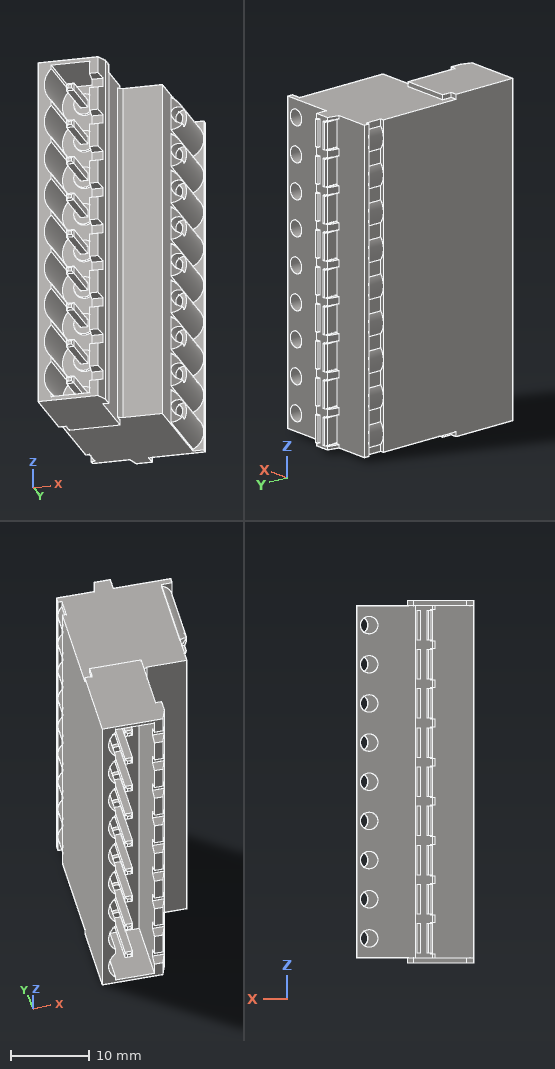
import cadquery as cq

pole_count = 9
pole_pitch = 5.0
pole_levels = [(i - (pole_count - 1) / 2) * pole_pitch for i in range(pole_count)]

shroud_height = 46.3
shroud_right = 7.75
shroud_back = 11.0
corner_step_width = 0.95
corner_step_start = 9.55
lip_right = 8.5
lip_front_right = 7.95
lip_taper_end = 1.5
lip_back = 3.05

pocket_left = 1.75
pocket_right = 6.85
pocket_depth = 8.35
end_wall = 0.5
pocket_height = shroud_height - 2 * end_wall
scallop_radius = 3.0

notch_mouth = 1.95
notch_floor = 1.1
notch_depth = 1.05

pin_x = 3.85
pin_width = 0.95
pin_tip_width = 0.45
pin_tip_y = 1.3
pin_chamfer = (pin_width - pin_tip_width) / 2
collar_radius = 1.4
collar_height = 0.45

body_height = 44.98
body_front = 10.2
body_right = 13.55
body_back = 25.0
web_width = 0.6
web_depth = 0.32

overall_right = 15.0
flange_thickness = 0.8
flange_front = body_back - flange_thickness
housing_front = 14.17
housing_radius = 2.45
housing_x = overall_right - housing_radius
slot_radius = 1.1
slot_x = body_right + slot_radius
slot_back = 16.35
bore_x = 13.4

groove_depth = 0.5
groove_front = 21.8
grip_half_height = 1.55
grip_radius = (grip_half_height**2 + groove_depth**2) / (2 * groove_depth)

rib_left = 4.95
rib_top_left = 5.33
rib_right = 7.45
rib_back = 26.65
button_height = 3.75
button_gap = 0.15
window_height = button_height + 2 * button_gap
window_floor = 5.55
ridge_back = 27.0
left_ridge_right = 5.98
right_ridge_left = 6.8
right_ridge_right = 7.25
ridge_slope = 0.15


def prism(points, height, level=0.0):
    """Extrude an XY outline along Z, centred on the given level."""
    return cq.Workplane("XY").workplane(offset=level - height / 2).polyline(points).close().extrude(height)


def block(x0, x1, y0, y1, height, level=0.0):
    return prism([(x0, y0), (x1, y0), (x1, y1), (x0, y1)], height, level)


def rod(x, level, radius, y0, y1):
    """Cylinder along Y."""
    return cq.Workplane("XY").add(
        cq.Solid.makeCylinder(radius, y1 - y0, cq.Vector(x, y0, level), cq.Vector(0, 1, 0))
    )


def make_shroud():
    shroud = prism(
        [
            (0, 0),
            (lip_front_right, 0),
            (lip_right, lip_taper_end),
            (lip_right, lip_back),
            (shroud_right, lip_back),
            (shroud_right, shroud_back),
            (corner_step_width, shroud_back),
            (corner_step_width, corner_step_start),
            (0, corner_step_start),
        ],
        shroud_height,
    )
    pocket = block(pocket_left, pocket_right, 0, pocket_depth, pocket_height)
    for level in pole_levels:
        scallop = rod(pin_x, level, scallop_radius, 0, pocket_depth)
        left_half = block(0, pin_x, 0, pocket_depth, pocket_height)
        pocket = pocket.union(scallop.intersect(left_half))
    shroud = shroud.cut(pocket)
    for level in pole_levels:
        shroud = shroud.cut(make_notch(level))
    return shroud


def make_notch(level):
    outline = [
        (0, level - notch_mouth / 2),
        (notch_depth, level - notch_floor / 2),
        (notch_depth, level + notch_floor / 2),
        (0, level + notch_mouth / 2),
    ]
    return cq.Workplane("YZ").workplane(offset=pocket_right).polyline(outline).close().extrude(
        lip_right - pocket_right
    )


def make_pin(level):
    """Square pin with a bevelled tip, standing on a round collar."""
    pin = block(pin_x - pin_width / 2, pin_x + pin_width / 2, pin_tip_y, pocket_depth, pin_width, level)
    pin = pin.faces("<Y").chamfer(pin_chamfer)
    return pin.union(rod(pin_x, level, collar_radius, pocket_depth - collar_height, pocket_depth))


def make_body():
    body = prism(
        [
            (0, corner_step_start),
            (shroud_right, corner_step_start),
            (shroud_right, body_front - web_depth),
            (shroud_right + web_width, body_front),
            (body_right, body_front),
            (body_right, flange_front),
            (overall_right, flange_front),
            (overall_right, body_back),
            (0, body_back),
        ],
        body_height,
    )
    return body.cut(block(0, groove_depth, groove_front, flange_front, body_height))


def make_grip(level):
    """Shallow convex bump that fills the grip groove up to the left side."""
    bump = rod(grip_radius, level, grip_radius, groove_front, flange_front)
    return bump.intersect(block(0, groove_depth, groove_front, flange_front, 2 * grip_half_height, level))


def make_housing(level):
    """Rounded screw housing with a 45 degree lead-in at its front end."""
    lead_in = overall_right - body_right
    envelope = prism(
        [
            (body_right, housing_front),
            (overall_right, housing_front + lead_in),
            (overall_right, flange_front),
            (body_right, flange_front),
        ],
        2 * housing_radius,
        level,
    )
    return rod(housing_x, level, housing_radius, housing_front, flange_front).intersect(envelope)


def make_screw_opening(level):
    """Open slot at the front of a housing, meeting the offset bore that comes in from the back."""
    slot = rod(slot_x, level, slot_radius, housing_front, slot_back)
    slot = slot.union(block(slot_x, overall_right, housing_front, slot_back, 2 * slot_radius, level))
    return slot.union(rod(bore_x, level, slot_radius, slot_back, body_back))


def make_rib():
    return prism(
        [(rib_left, body_back), (rib_right, body_back), (rib_right, rib_back), (rib_top_left, rib_back)],
        body_height,
    )


def make_window(level):
    """Recess in the left side of the rib that frames a button."""
    return block(rib_left, window_floor, body_back, rib_back, window_height, level)


def make_button(level):
    """Upright button in the rib window, with a pair of low ridges on its back."""
    button = block(rib_top_left, rib_right, body_back, rib_back, button_height, level)
    left_ridge = prism(
        [
            (rib_top_left, rib_back),
            (left_ridge_right, rib_back),
            (left_ridge_right - ridge_slope, ridge_back),
            (rib_top_left + ridge_slope, ridge_back),
        ],
        button_height,
        level,
    )
    right_ridge = block(right_ridge_left, right_ridge_right, rib_back, ridge_back, button_height, level)
    return button.union(left_ridge).union(right_ridge)


result = make_shroud().union(make_body()).union(make_rib())
for level in pole_levels:
    result = result.union(make_pin(level)).union(make_grip(level)).union(make_housing(level))
    result = result.cut(make_screw_opening(level))
    result = result.cut(make_window(level)).union(make_button(level))